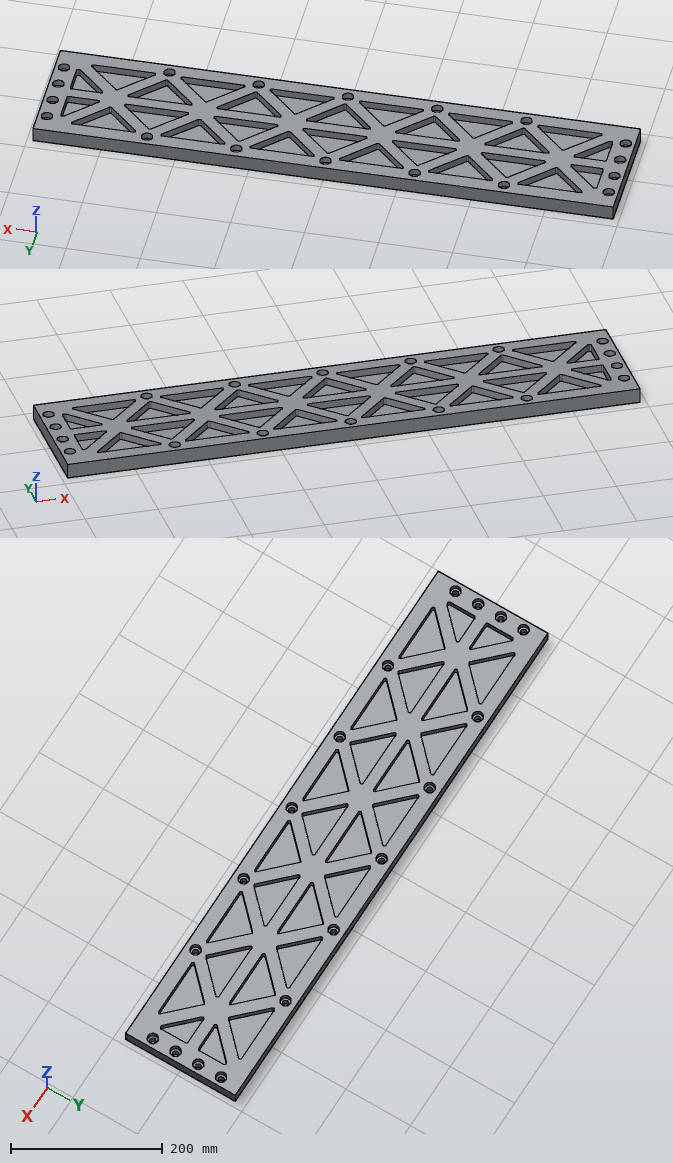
import cadquery as cq

length = 784.0
width = 170.0
thickness = 20.0

hole_diameter = 9.0
counterbore_diameter = 15.0
counterbore_depth = 9.0
side_hole_count = 5
side_hole_span = 482.0
side_row_spacing = 139.5
end_hole_count = 4
end_hole_pitch = 35.0
end_hole_inset = 12.5
end_hole_offset_y = 2.0

pocket_depth = 10.0
pocket_corner_radius = 2.2
triangle_height = 46.0
end_pocket_height = 42.0
central_bar_width = 16.5
pocket_field_width = 128.5
pocket_field_length = 724.5

bay_pitch = side_hole_span / (side_hole_count - 1)
inner_triangle_count = side_hole_count
outer_triangle_count = side_hole_count + 1
inner_y = central_bar_width / 2
outer_y = pocket_field_width / 2
field_end_x = pocket_field_length / 2


def centered_positions(count, pitch):
    """Evenly spaced coordinates, symmetric about zero."""
    return [(i - (count - 1) / 2) * pitch for i in range(count)]


def full_triangle(center_x, base_y, direction):
    """Triangle with 45 degree flanks whose apex lies towards +Y (1) or -Y (-1) of its base."""
    return [
        (center_x - triangle_height, base_y),
        (center_x + triangle_height, base_y),
        (center_x, base_y + direction * triangle_height),
    ]


def end_triangle(x_side, y_side):
    """Half triangle with a blunted tip, closing the truss beside the end holes."""
    base_tip_x = outer_triangle_count * bay_pitch / 2 - triangle_height
    blunt_y = inner_y + end_pocket_height
    corners = [
        (base_tip_x, inner_y),
        (field_end_x, inner_y),
        (field_end_x, blunt_y),
        (base_tip_x + end_pocket_height, blunt_y),
    ]
    return [(x_side * x, y_side * y) for x, y in corners]


def cut_pocket(body, outline):
    """Sink a blind pocket with rounded vertical corners into the top face."""
    pocket = (
        cq.Workplane("XY", origin=(0, 0, thickness - pocket_depth))
        .polyline(outline)
        .close()
        .extrude(pocket_depth)
        .edges("|Z")
        .fillet(pocket_corner_radius)
    )
    return body.cut(pocket)


plate = cq.Workplane("XY").box(length, width, thickness, centered=(True, True, False))

for y_side in (1, -1):
    for x in centered_positions(outer_triangle_count, bay_pitch):
        plate = cut_pocket(plate, full_triangle(x, y_side * outer_y, -y_side))
    for x in centered_positions(inner_triangle_count, bay_pitch):
        plate = cut_pocket(plate, full_triangle(x, y_side * inner_y, y_side))
    for x_side in (1, -1):
        plate = cut_pocket(plate, end_triangle(x_side, y_side))

side_holes = [
    (x, y)
    for x in centered_positions(side_hole_count, bay_pitch)
    for y in centered_positions(2, side_row_spacing)
]
end_holes = [
    (x, y + end_hole_offset_y)
    for x in centered_positions(2, length - 2 * end_hole_inset)
    for y in centered_positions(end_hole_count, end_hole_pitch)
]
result = (
    plate.faces(">Z")
    .workplane(origin=(0, 0, thickness))
    .pushPoints(side_holes + end_holes)
    .cboreHole(hole_diameter, counterbore_diameter, counterbore_depth)
)